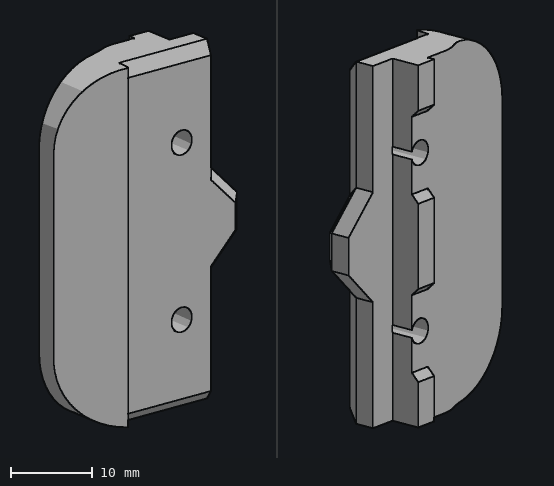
import cadquery as cq

height = 46.73
half_height = height / 2

seat_x = 1.0
ledge_x = 4.07
bevel_start_x = 6.75
back_x = 8.31
bevel_depth = back_x - bevel_start_x
ledge_y = 19.5
plate_edge_y = 23.25
end_bevel = bevel_depth
rear_bevel = 0.65

nose_tip_y = 27.93
nose_half_width = 2.42
nose_tip_bevel = 1.5
nose_narrowing = 0.65

tip_front_x = 2.82
tip_back_x = 5.67
wing_front_x = 2.16
wing_front_y = 8.98
blend_middle_x = 1.52
blend_middle_y = 10.95
blend_start_y = 13.25
lip_x = 8.88
lip_y = 9.22
lip_radius = 0.2
lip_step_y = 9.43
corner_radius = 10.0

pad_low_y = 16.46
pad_bevel = seat_x
middle_pad_half_length = 5.5
end_pad_start_z = 17.5

hole_diameter = 3.2
hole_y = (pad_low_y + ledge_y) / 2
hole_z = 11.5


def make_body():
    """Seat, blend curve and wing, as one XY profile over the full height."""
    body = (
        cq.Workplane("XY", origin=(0, 0, -half_height))
        .moveTo(tip_front_x, 0)
        .lineTo(tip_back_x, 0)
        .lineTo(lip_x, lip_y)
        .lineTo(bevel_start_x, lip_step_y)
        .lineTo(bevel_start_x, ledge_y)
        .lineTo(seat_x, ledge_y)
        .lineTo(seat_x, blend_start_y)
        .tangentArcPoint((blend_middle_x, blend_middle_y), relative=False)
        .tangentArcPoint((wing_front_x, wing_front_y), relative=False)
        .close()
        .extrude(height)
    )
    lip_edge = cq.selectors.NearestToPointSelector((lip_x, lip_y, 0))
    return body.edges(lip_edge).fillet(lip_radius)


def plate_outline(edge_y, top_z, tip_y, tip_half_width):
    """YZ points of the plate and nose, from the wing lip rearward."""
    root_z = tip_half_width + tip_y - edge_y
    upper_half = [
        (tip_y, tip_half_width),
        (edge_y, root_z),
        (edge_y, top_z),
        (lip_y, top_z),
    ]
    lower_half = [(y, -z) for y, z in reversed(upper_half)]
    return lower_half + upper_half


def make_plate():
    """Rear plate with its nose, bevelled toward the back face."""
    front_outline = plate_outline(plate_edge_y, half_height, nose_tip_y, nose_half_width)
    back_outline = plate_outline(
        plate_edge_y - rear_bevel,
        half_height - end_bevel,
        nose_tip_y - nose_tip_bevel,
        nose_half_width - nose_narrowing,
    )
    straight_part = (
        cq.Workplane("YZ", origin=(ledge_x, 0, 0))
        .polyline(front_outline)
        .close()
        .extrude(bevel_start_x - ledge_x)
    )
    bevelled_part = (
        cq.Workplane("YZ", origin=(bevel_start_x, 0, 0))
        .polyline(front_outline)
        .close()
        .workplane(offset=bevel_depth)
        .polyline(back_outline)
        .close()
        .loft(ruled=True)
    )
    return straight_part.union(bevelled_part)


def make_pad(bottom_z, top_z, bottom_bevel, top_bevel):
    """Pad on the seat; the Z limits are those of its outer face."""
    return (
        cq.Workplane("XZ", origin=(0, ledge_y, 0))
        .moveTo(0, bottom_z)
        .lineTo(0, top_z)
        .lineTo(seat_x, top_z + top_bevel)
        .lineTo(seat_x, bottom_z - bottom_bevel)
        .close()
        .extrude(ledge_y - pad_low_y)
    )


def make_holes():
    """Two through holes between the pads."""
    return (
        cq.Workplane("YZ")
        .pushPoints([(hole_y, -hole_z), (hole_y, hole_z)])
        .circle(hole_diameter / 2)
        .extrude(back_x)
    )


def make_rounded_envelope():
    """Block around the part with the two wing tip corners rounded about X."""
    return (
        cq.Workplane("XY")
        .box(lip_x, nose_tip_y, height, centered=(False, False, True))
        .edges("|X and <Y")
        .fillet(corner_radius)
    )


part = make_body().union(make_plate())
part = part.union(make_pad(-middle_pad_half_length, middle_pad_half_length, pad_bevel, pad_bevel))
part = part.union(make_pad(end_pad_start_z, half_height, pad_bevel, 0))
part = part.union(make_pad(-half_height, -end_pad_start_z, 0, pad_bevel))
part = part.cut(make_holes())
result = part.intersect(make_rounded_envelope())